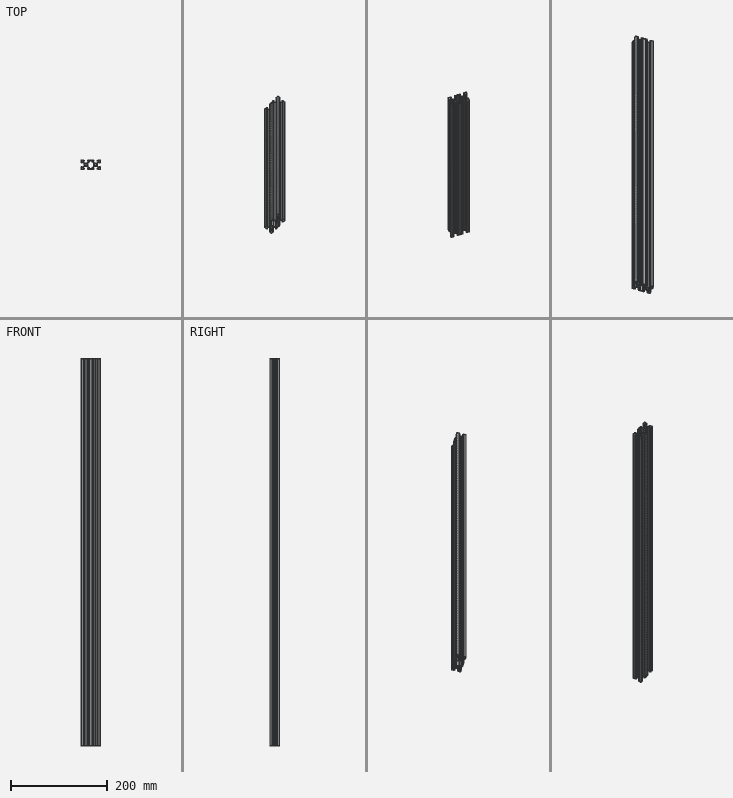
import cadquery as cq

LENGTH = 800.0
CELL = 20.0
WIDTH = 2 * CELL
HALF_CELL = CELL / 2
CORNER_RADIUS = 0.5

MOUTH_HALF = 4.6
NECK_HALF = 3.1
POCKET_HALF = 5.4
WALL = 1.8
GROOVE_DEPTH = 0.2
OVERCUT = 2.0

CORE_HALF = 3.9
WEB_OFFSET = 1.0
BORE_DIAMETER = 4.2

HOLLOW_HALF = HALF_CELL - POCKET_HALF - WALL


def outer_block():
    """Solid bar with rounded long edges."""
    return cq.Workplane("XY").rect(WIDTH, CELL).extrude(LENGTH).edges("|Z").fillet(CORNER_RADIUS)


def mirrored_in_x(points):
    """Mirror image of the points across the Y axis, in reverse order."""
    return [(-x, y) for x, y in reversed(points)]


def slot_cutter(cell_x, turn):
    """Full-length V-slot for the +Y side of a cell, turned about the cell's axis."""
    mouth_taper = MOUTH_HALF - NECK_HALF
    lip_y = HALF_CELL - WALL
    half_outline = [
        (MOUTH_HALF, HALF_CELL + OVERCUT),
        (MOUTH_HALF, HALF_CELL),
        (NECK_HALF, HALF_CELL - mouth_taper),
        (NECK_HALF, lip_y),
        (POCKET_HALF, lip_y),
        (POCKET_HALF, POCKET_HALF + WEB_OFFSET),
        (CORE_HALF - WEB_OFFSET, CORE_HALF),
        (GROOVE_DEPTH, CORE_HALF),
    ]
    groove_bottom = [(0, CORE_HALF - GROOVE_DEPTH)]
    outline = half_outline + groove_bottom + mirrored_in_x(half_outline)
    cutter = cq.Workplane("XY").polyline(outline).close().extrude(LENGTH)
    return cutter.rotate((0, 0, 0), (0, 0, 1), turn).translate((cell_x, 0, 0))


def bore_cutter(cell_x):
    """Through bore along the axis of a cell."""
    return cq.Workplane("XY").center(cell_x, 0).circle(BORE_DIAMETER / 2).extrude(LENGTH)


def middle_hollow():
    """Through hollow between the cores, bounded by the webs, ribs and middle walls."""
    core_x = HALF_CELL - CORE_HALF
    rib_distance = HALF_CELL - HOLLOW_HALF
    quarter = [
        (core_x, CORE_HALF - WEB_OFFSET),
        (HOLLOW_HALF, rib_distance - WEB_OFFSET),
        (HOLLOW_HALF, HALF_CELL - WALL),
    ]
    upper = quarter + mirrored_in_x(quarter)
    lower = [(x, -y) for x, y in reversed(upper)]
    return cq.Workplane("XY").polyline(upper + lower).close().extrude(LENGTH)


result = outer_block().cut(middle_hollow())

for side in (-1, 1):
    cell_x = side * HALF_CELL
    outward_turn = -90 * side
    for turn in (0, 180, outward_turn):
        result = result.cut(slot_cutter(cell_x, turn))
    result = result.cut(bore_cutter(cell_x))